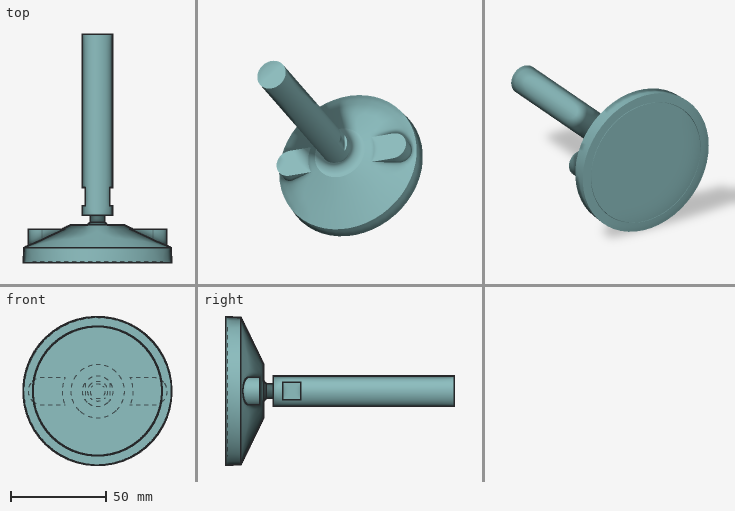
import cadquery as cq

OVERALL_LENGTH = 120.0

PLATE_DIAMETER = 78.0
RIM_TOP_DIAMETER = 77.2
RIM_HEIGHT = 8.0
CONE_TOP_DIAMETER = 28.0
PLATE_HEIGHT = 20.0

PAD_DIAMETER = 67.5
PAD_RECESS_DIAMETER = 68.0
GROOVE_DEPTH = 1.0

LUG_DIAMETER = 14.5
LUG_CENTER_SPACING = 58.2
LUG_TOP = 17.8

NECK_DIAMETER = 7.8
FLARE_DIAMETER = 10.5
FLARE_HEIGHT = (FLARE_DIAMETER - NECK_DIAMETER) / 2
ROD_DIAMETER = 16.0
ROD_START = 25.0

FLAT_WIDTH = 13.0
FLAT_START = 30.0
FLAT_LENGTH = 9.5


def cylinder(diameter, start, end):
    """Cylinder about the Y axis between two Y positions."""
    return cq.Workplane("XZ", origin=(0, start, 0)).circle(diameter / 2).extrude(start - end)


def foot_plate():
    profile = [
        (0, 0),
        (PLATE_DIAMETER / 2, 0),
        (RIM_TOP_DIAMETER / 2, RIM_HEIGHT),
        (CONE_TOP_DIAMETER / 2, PLATE_HEIGHT),
        (0, PLATE_HEIGHT),
    ]
    return cq.Workplane("XY").polyline(profile).close().revolve(360, (0, 0, 0), (0, 1, 0))


def pad_groove():
    recess = cylinder(PAD_RECESS_DIAMETER, 0, GROOVE_DEPTH)
    return recess.cut(cylinder(PAD_DIAMETER, 0, GROOVE_DEPTH))


def lug_bar():
    bar_length = LUG_CENTER_SPACING + LUG_DIAMETER
    bar_base = RIM_HEIGHT / 2
    return (
        cq.Workplane("XZ", origin=(0, bar_base, 0))
        .slot2D(bar_length, LUG_DIAMETER)
        .extrude(bar_base - LUG_TOP)
    )


def neck():
    flare_top = PLATE_HEIGHT + FLARE_HEIGHT
    profile = [
        (0, PLATE_HEIGHT),
        (FLARE_DIAMETER / 2, PLATE_HEIGHT),
        (NECK_DIAMETER / 2, flare_top),
        (NECK_DIAMETER / 2, ROD_START),
        (0, ROD_START),
    ]
    return cq.Workplane("XY").polyline(profile).close().revolve(360, (0, 0, 0), (0, 1, 0))


def rod():
    body = cylinder(ROD_DIAMETER, ROD_START, OVERALL_LENGTH)
    flat_middle = FLAT_START + FLAT_LENGTH / 2
    for side in (-1, 1):
        cutter_center = side * (FLAT_WIDTH + ROD_DIAMETER) / 2
        cutter = cq.Workplane("XY").box(ROD_DIAMETER, FLAT_LENGTH, ROD_DIAMETER)
        body = body.cut(cutter.translate((cutter_center, flat_middle, 0)))
    return body


foot = foot_plate().union(lug_bar()).cut(pad_groove())
result = foot.union(neck()).union(rod())